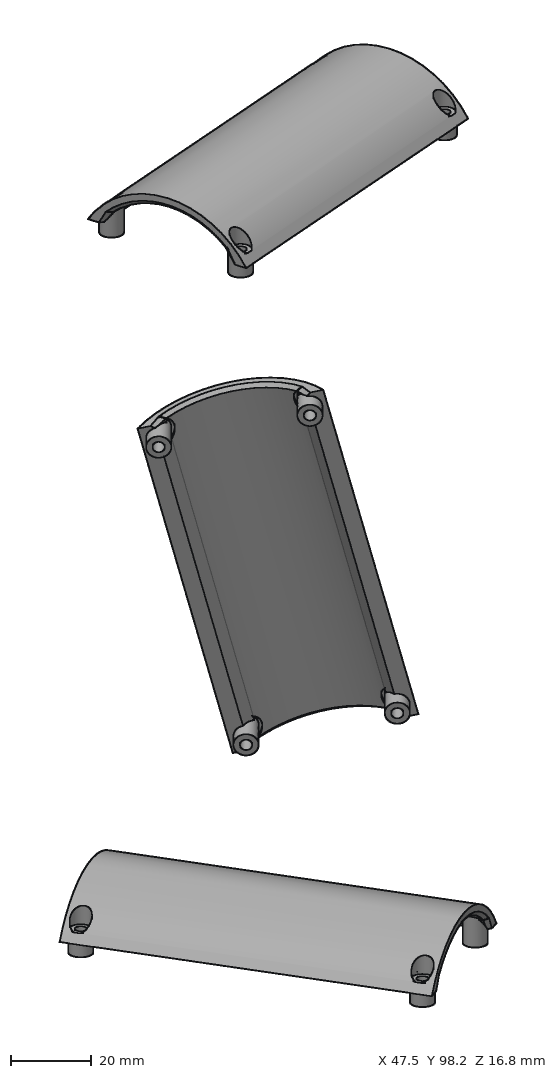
import cadquery as cq
import math

length = 98.15
width = 47.5
height = 16.8
post_drop = 4.0
rise = height - post_drop
outer_radius = ((width / 2) ** 2 + rise ** 2) / (2 * rise)
axis_z = height - outer_radius

end_wall = 1.9
middle_wall = 2.9
taper_length = 1.0
foot_top_z = 7.6
end_foot_x = 20.4
foot_step = 1.1

post_x = 19.3
post_y = 45.05
post_diameter = 6.3
relief_diameter = 8.0
hole_diameter = 3.0
head_diameter = 5.6
head_floor_z = 6.4


def inner_section(y, wall, foot_x):
    """Closed section of the hollow, with an arched top and straight feet."""
    radius = outer_radius - wall
    shoulder_x = math.sqrt(radius ** 2 - (foot_top_z - axis_z) ** 2)
    return (
        cq.Workplane("XZ", origin=(0, y, 0))
        .moveTo(-foot_x, post_drop)
        .lineTo(-shoulder_x, foot_top_z)
        .threePointArc((0, axis_z + radius), (shoulder_x, foot_top_z))
        .lineTo(foot_x, post_drop)
        .close()
    )


def loft_sections(first, second):
    return cq.Workplane(cq.Solid.makeLoft([first.wire().val(), second.wire().val()], True))


arch = (
    cq.Workplane("XZ")
    .moveTo(-width / 2, post_drop)
    .threePointArc((0, height), (width / 2, post_drop))
    .close()
    .extrude(length / 2, both=True)
)

middle_foot_x = end_foot_x - foot_step
shell = arch.cut(inner_section(length / 2, middle_wall, middle_foot_x).extrude(length))
for side in (-1, 1):
    end_section = inner_section(side * length / 2, end_wall, end_foot_x)
    deep_section = inner_section(side * (length / 2 - taper_length), middle_wall, middle_foot_x)
    shell = shell.cut(loft_sections(end_section, deep_section))


def at_posts(diameter, bottom, top):
    """Vertical cylinders on the four post centres."""
    return (
        cq.Workplane("XY", origin=(0, 0, bottom))
        .rect(2 * post_x, 2 * post_y, forConstruction=True)
        .vertices()
        .circle(diameter / 2)
        .extrude(top - bottom)
    )


thin_hollow = inner_section(length / 2, end_wall, end_foot_x).extrude(length)
shell = shell.cut(at_posts(relief_diameter, foot_top_z, height).intersect(thin_hollow))

lower_posts = at_posts(post_diameter, 0, post_drop)
upper_posts = at_posts(post_diameter, post_drop, height).intersect(arch)

result = (
    shell.union(upper_posts)
    .union(lower_posts)
    .cut(at_posts(hole_diameter, 0, height))
    .cut(at_posts(head_diameter, head_floor_z, height))
)